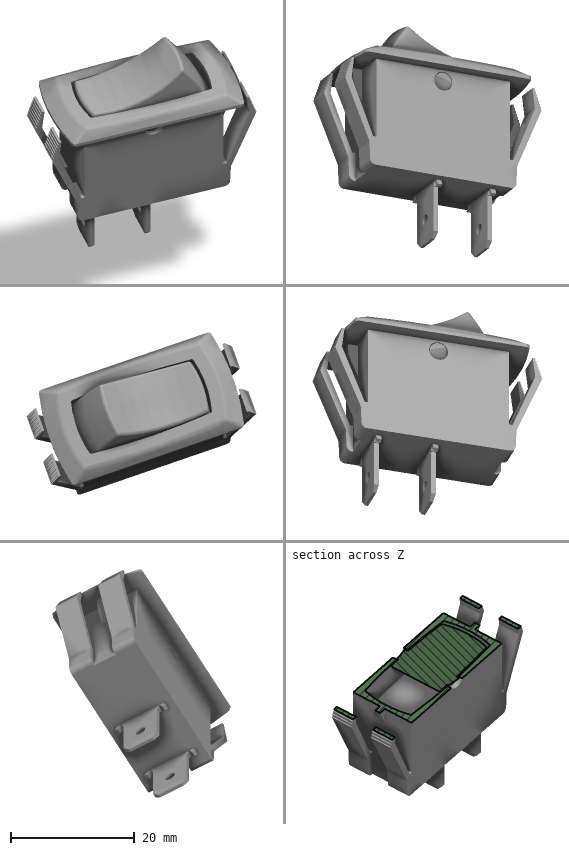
import cadquery as cq
import math


BODY_HALF_WIDTH = 5.98
BODY_HALF_LENGTH = 11.95
BODY_DEPTH = 18.4

BEZEL_HALF_WIDTH = 8.348
BEZEL_HALF_LENGTH = 15.65
BEZEL_END_BOW = 1.0
BEZEL_EDGE = 0.57
BEZEL_HEIGHT = 2.05
BEZEL_TOP_HALF_WIDTH = 7.4
BEZEL_TOP_HALF_LENGTH = 13.28
BEZEL_TOP_SIDE_BOW = 0.7
BEZEL_TOP_END_BOW = 1.15
BEZEL_CORNER_FILLET = 0.85
BEZEL_TOP_FILLET = 1.05

OPENING_HALF_WIDTH = 5.15
OPENING_HALF_LENGTH = 11.07
OPENING_SIDE_BOW = 0.45
OPENING_END_BOW = 0.65
OPENING_CORNER_FILLET = 0.35
OPENING_FLOOR = -7.48

RIB_WIDTH = 1.07
RIB_REACH = 13.6
RIB_STRAIGHT = 1.1
RIB_ARC_RADIUS = 4.02
RIB_SLOPE = math.radians(23.5)

ARM_INNER_X = 2.0
ARM_ROOT_REACH = 13.2
ARM_ROOT_TOP = -14.45
ARM_FOOT_REACH = 13.03
ARM_FOOT_CORNER = 0.93
ARM_SLOT_WIDTH = 0.57
ARM_SLOT_FLOOR = -13.53
ARM_ELBOW_INNER = (16.38, -3.9)
ARM_ELBOW_REACH = 17.605
ARM_TIP_INNER = 15.95
ARM_TIP_OUTER = 16.4
ARM_TIP_TOP = -0.43
ARM_STEP_COUNT = 7
ARM_STEP_HEIGHT = 0.51

PIVOT_Z = -1.92
PIVOT_HOLE_DIAMETER = 3.2
PIVOT_PIN_DIAMETER = 2.95
PIN_RAMP_START = 0.5
PIN_RAMP_DEPTH = 0.9

ROCKER_TILT = 18.0
ROCKER_SECTIONS = [
    (-1.78, 5.05, 10.82),
    (2.85, 4.95, 10.07),
    (7.83, 4.8, 8.5),
]
ROCKER_SIDE_BOW = 0.35
ROCKER_END_BOW = 0.68
ROCKER_CORNER_FILLET = 0.5
ROCKER_TOP_FILLET = 0.45
ROCKER_DISH_HEIGHT = 5.52
ROCKER_DISH_RADIUS = 19.95

TERMINAL_POSITIONS = [0.0, -9.65]
TERMINAL_THICKNESS = 0.85
BLADE_HALF_WIDTH = 3.15
BLADE_BOTTOM = -27.95
BLADE_HOLE_DIAMETER = 1.8
BLADE_HOLE_Z = -23.95
TIP_HEIGHT = 1.05
TIP_HALF_WIDTH = 2.2
TIP_THICKNESS = 0.55
SHOULDER_HALF_WIDTH = 3.38
SHOULDER_BOTTOM = -19.22
HEAD_HALF_WIDTH = 4.3
HEAD_HEIGHT = 2.15
TAB_INNER_X = 3.63
TAB_LENGTH = 1.28
TAB_THICKNESS = 0.623
TAB_ANGLE = math.radians(25)


def bowed_outline(z, half_width, half_length, side_bow, end_bow):
    """Closed outline whose sides bulge outward from the corners to the given half sizes."""
    corner_x = half_width - side_bow
    corner_y = half_length - end_bow
    outline = cq.Workplane("XY", origin=(0, 0, z)).moveTo(-corner_x, -corner_y)
    outline = outline.threePointArc((0, -half_length), (corner_x, -corner_y))
    if side_bow:
        outline = outline.threePointArc((half_width, 0), (corner_x, corner_y))
    else:
        outline = outline.lineTo(corner_x, corner_y)
    outline = outline.threePointArc((0, half_length), (-corner_x, corner_y))
    if side_bow:
        outline = outline.threePointArc((-half_width, 0), (-corner_x, -corner_y))
    return outline.close()


def loft(outlines, ruled):
    return cq.Workplane(cq.Solid.makeLoft([outline.val() for outline in outlines], ruled))


def mirrored_ends(end):
    return end.union(end.mirror("XZ"))


def make_bezel():
    base = (BEZEL_HALF_WIDTH, BEZEL_HALF_LENGTH, 0, BEZEL_END_BOW)
    top = (BEZEL_TOP_HALF_WIDTH, BEZEL_TOP_HALF_LENGTH, BEZEL_TOP_SIDE_BOW, BEZEL_TOP_END_BOW)
    edge = bowed_outline(0, *base).extrude(BEZEL_EDGE)
    slope = loft([bowed_outline(BEZEL_EDGE, *base), bowed_outline(BEZEL_HEIGHT, *top)], True)
    slope = slope.edges("not(<Z or >Z)").fillet(BEZEL_CORNER_FILLET)
    bezel = edge.edges("|Z").fillet(BEZEL_CORNER_FILLET).union(slope)
    return bezel.faces(">Z").edges().fillet(BEZEL_TOP_FILLET)


def make_rib():
    arc_y = RIB_REACH - RIB_ARC_RADIUS
    arc_points = [
        (arc_y + RIB_ARC_RADIUS * math.cos(angle), -RIB_STRAIGHT - RIB_ARC_RADIUS * math.sin(angle))
        for angle in (RIB_SLOPE / 2, RIB_SLOPE)
    ]
    end_y, end_z = arc_points[1]
    foot_z = end_z - (end_y - BODY_HALF_LENGTH) / math.tan(RIB_SLOPE)
    return (
        cq.Workplane("YZ")
        .moveTo(BODY_HALF_LENGTH, 0)
        .lineTo(RIB_REACH, 0)
        .lineTo(RIB_REACH, -RIB_STRAIGHT)
        .threePointArc(*arc_points)
        .lineTo(BODY_HALF_LENGTH, foot_z)
        .close()
        .extrude(RIB_WIDTH / 2, both=True)
    )


def make_arm_pair():
    slot_y = BODY_HALF_LENGTH + ARM_SLOT_WIDTH
    profile = (
        cq.Workplane("YZ", origin=(ARM_INNER_X, 0, 0))
        .moveTo(BODY_HALF_LENGTH, -BODY_DEPTH)
        .lineTo(BODY_HALF_LENGTH, ARM_SLOT_FLOOR)
        .lineTo(slot_y, ARM_SLOT_FLOOR)
        .lineTo(*ARM_ELBOW_INNER)
        .lineTo(ARM_TIP_INNER, ARM_TIP_TOP)
    )
    step_depth = (ARM_ELBOW_REACH - ARM_TIP_OUTER) / ARM_STEP_COUNT
    for step in range(ARM_STEP_COUNT):
        y = ARM_TIP_OUTER + step * step_depth
        z = ARM_TIP_TOP - step * ARM_STEP_HEIGHT
        profile = profile.lineTo(y, z).lineTo(y, z - ARM_STEP_HEIGHT)
    arm = (
        profile.lineTo(ARM_ELBOW_REACH, ARM_TIP_TOP - ARM_STEP_COUNT * ARM_STEP_HEIGHT)
        .lineTo(ARM_ROOT_REACH, ARM_ROOT_TOP)
        .lineTo(ARM_FOOT_REACH, -BODY_DEPTH)
        .close()
        .extrude(BODY_HALF_WIDTH - ARM_INNER_X)
        .faces("<Z")
        .edges(">Y")
        .fillet(ARM_FOOT_CORNER)
    )
    return arm.union(arm.mirror("YZ"))


def make_housing():
    body = cq.Workplane("XY").box(
        2 * BODY_HALF_WIDTH, 2 * BODY_HALF_LENGTH, BODY_DEPTH, centered=(True, True, False)
    )
    housing = body.translate((0, 0, -BODY_DEPTH)).union(make_bezel())
    housing = housing.union(mirrored_ends(make_rib())).union(mirrored_ends(make_arm_pair()))

    opening = bowed_outline(
        OPENING_FLOOR, OPENING_HALF_WIDTH, OPENING_HALF_LENGTH, OPENING_SIDE_BOW, OPENING_END_BOW
    ).extrude(BEZEL_HEIGHT - OPENING_FLOOR)
    pivot_hole = (
        cq.Workplane("YZ", origin=(0, 0, PIVOT_Z))
        .circle(PIVOT_HOLE_DIAMETER / 2)
        .extrude(BODY_HALF_WIDTH, both=True)
    )
    housing = housing.cut(opening.edges("|Z").fillet(OPENING_CORNER_FILLET)).cut(pivot_hole)
    for y in TERMINAL_POSITIONS:
        housing = housing.cut(make_terminal_head().translate((0, y, 0)))
    return housing


def make_pivot_pin():
    """Pin along +X and -X, with snap-in ramps on the lower part of both ends."""
    radius = PIVOT_PIN_DIAMETER / 2
    ramp_profile = (
        cq.Workplane("XZ")
        .moveTo(BODY_HALF_WIDTH, PIN_RAMP_START)
        .lineTo(BODY_HALF_WIDTH, -radius)
        .lineTo(BODY_HALF_WIDTH - PIN_RAMP_DEPTH, -radius)
        .close()
    )
    ramp = ramp_profile.extrude(radius, both=True)
    pin = cq.Workplane("YZ").circle(radius).extrude(BODY_HALF_WIDTH, both=True)
    return pin.cut(ramp).cut(ramp.mirror("YZ"))


def make_rocker():
    cap = loft(
        [
            bowed_outline(height, half_width, half_length, ROCKER_SIDE_BOW, ROCKER_END_BOW)
            for height, half_width, half_length in ROCKER_SECTIONS
        ],
        False,
    )
    cap = cap.edges("not(<Z or >Z)").fillet(ROCKER_CORNER_FILLET)
    dish = (
        cq.Workplane("YZ", origin=(0, 0, ROCKER_DISH_HEIGHT + ROCKER_DISH_RADIUS))
        .circle(ROCKER_DISH_RADIUS)
        .extrude(2 * BODY_HALF_WIDTH, both=True)
    )
    cap = cap.cut(dish)
    cap = cap.faces("%CYLINDER").faces(">Z").edges().fillet(ROCKER_TOP_FILLET)
    rocker = cap.union(make_pivot_pin())
    return rocker.rotate((0, 0, 0), (1, 0, 0), ROCKER_TILT).translate((0, 0, PIVOT_Z))


def make_terminal_head():
    """Part of a terminal that is embedded in the housing floor."""
    head = cq.Workplane("XY").box(
        2 * HEAD_HALF_WIDTH, TERMINAL_THICKNESS, HEAD_HEIGHT, centered=(True, True, False)
    )
    return head.translate((0, 0, -BODY_DEPTH))


def make_locking_tab():
    """Tab on the +X side, splayed outward below the housing floor."""
    along = (TAB_LENGTH * math.sin(TAB_ANGLE), -TAB_LENGTH * math.cos(TAB_ANGLE))
    across = (TAB_THICKNESS * math.cos(TAB_ANGLE), TAB_THICKNESS * math.sin(TAB_ANGLE))
    floor_width = TAB_THICKNESS / math.cos(TAB_ANGLE)
    inner_tip = (TAB_INNER_X + along[0], -BODY_DEPTH + along[1])
    return (
        cq.Workplane("XZ")
        .moveTo(TAB_INNER_X, -BODY_DEPTH)
        .lineTo(*inner_tip)
        .lineTo(inner_tip[0] + across[0], inner_tip[1] + across[1])
        .lineTo(TAB_INNER_X + floor_width, -BODY_DEPTH)
        .close()
        .extrude(TERMINAL_THICKNESS / 2, both=True)
    )


def make_terminal():
    tip_top = BLADE_BOTTOM + TIP_HEIGHT
    outline = [
        (SHOULDER_HALF_WIDTH, -BODY_DEPTH),
        (SHOULDER_HALF_WIDTH, SHOULDER_BOTTOM),
        (BLADE_HALF_WIDTH, SHOULDER_BOTTOM),
        (BLADE_HALF_WIDTH, tip_top),
        (TIP_HALF_WIDTH, BLADE_BOTTOM),
    ]
    mirrored = [(-x, z) for x, z in reversed(outline)]
    blade = (
        cq.Workplane("XZ")
        .polyline(outline + mirrored)
        .close()
        .extrude(TERMINAL_THICKNESS / 2, both=True)
    )
    taper = (TERMINAL_THICKNESS - TIP_THICKNESS) / 2
    blade = blade.faces("<Z").edges("|X").chamfer(TIP_HEIGHT, taper)
    hole = (
        cq.Workplane("XZ", origin=(0, 0, BLADE_HOLE_Z))
        .circle(BLADE_HOLE_DIAMETER / 2)
        .extrude(TERMINAL_THICKNESS, both=True)
    )
    tab = make_locking_tab()
    return blade.cut(hole).union(make_terminal_head()).union(tab).union(tab.mirror("YZ"))


housing = make_housing()
rocker = make_rocker()
terminals = [make_terminal().translate((0, y, 0)) for y in TERMINAL_POSITIONS]
bodies = [housing, rocker, *terminals]

result = cq.Compound.makeCompound([body.solids().val() for body in bodies])